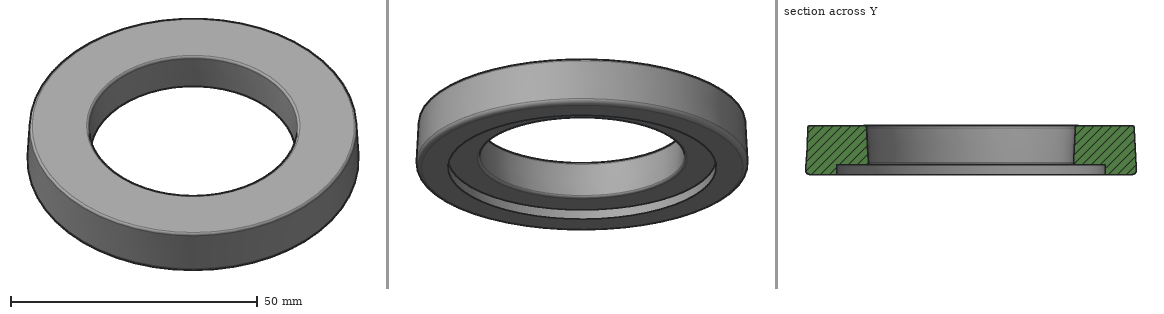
import cadquery as cq
import math

outer_radius = 33.65
throat_radius = 20.8
height = 10.0
draft_angle = math.radians(3.0)
edge_fillet = 0.505
foot_fillet = 1.0
recess_depth = 2.0
recess_radius = (outer_radius + throat_radius) / 2


def corner_setback(fillet_radius):
    """Distance a sharp drafted corner sticks out past the rounding that replaces it."""
    return fillet_radius * (1 / math.cos(draft_angle) + math.tan(draft_angle) - 1)


def draft_offset(wall_height):
    """Sideways shift of a drafted wall over its height."""
    return wall_height * math.tan(draft_angle)


def drafted_ring():
    """Ring with drafted walls and a recessed underside around the bore."""
    outer_bottom = outer_radius + corner_setback(foot_fillet)
    outer_top = outer_bottom - draft_offset(height)
    inner_bottom = throat_radius - corner_setback(edge_fillet)
    inner_top = inner_bottom + draft_offset(height - recess_depth)
    section = [
        (inner_bottom, recess_depth),
        (recess_radius, recess_depth),
        (recess_radius, 0),
        (outer_bottom, 0),
        (outer_top, height),
        (inner_top, height),
    ]
    profile = cq.Workplane("XZ").polyline(section).close()
    return profile.revolve(360, (0, 0, 0), (0, 1, 0))


ring = drafted_ring()
ring = ring.edges(cq.selectors.RadiusNthSelector(0)).fillet(edge_fillet)
ring = ring.faces(">Z").edges().fillet(edge_fillet)
result = ring.faces("<Z").edges(cq.selectors.RadiusNthSelector(-1)).fillet(foot_fillet)